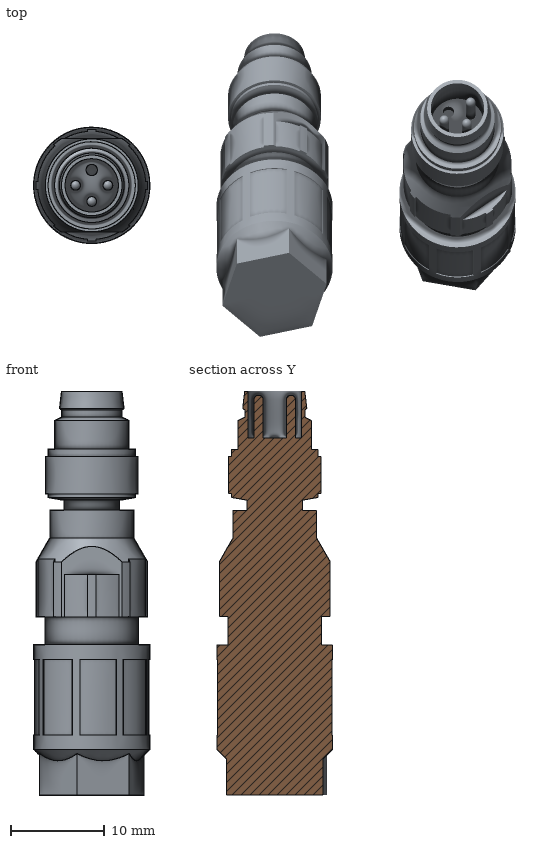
import cadquery as cq
import math


SLEEVE_BOTTOM = 4.95
SLEEVE_TOP = 16.15
GRIP_BOTTOM = 19.15
BODY_CONE_TOP = 27.6
BODY_TOP = 30.6
RING_UNDERSIDE = 31.7
RING_BOTTOM = 31.95
RING_TOP = 37.15
RING_LIP = 0.4
NOSE_TOP = 40.58
COLLAR_BOTTOM = 41.35
TOTAL_HEIGHT = 43.35

SLEEVE_RADIUS = 6.25
SHAFT_RADIUS = 5.05
GRIP_RADIUS = 6.0
BODY_RADIUS = 4.5
NECK_RADIUS = 3.0
RING_RADIUS = 5.0
RING_LIP_RADIUS = 4.7
NOSE_RADIUS = 4.0
SOCKET_OUTER_RADIUS = 3.25
COLLAR_RADIUS = 3.45

HEX_ACROSS_FLATS = 10.0
HEX_ANGLE = 14

PANEL_COUNT = 8
PANEL_BOTTOM = 6.45
PANEL_TOP = 14.55
PANEL_SPAN = 37
PANEL_ANGLE = 6.7
PANEL_DEPTH = 0.1

BODY_CONE_ANGLE = 30
GRIP_FLAT = 5.05
GRIP_FLAT_BOTTOM = 23.7
GRIP_PAD_RADIUS = 5.8
RIB_WIDTH = 0.85
PAD_END_ANGLE = 47

SOCKET_RADIUS = 2.85
SOCKET_DEPTH = 5.0
SOCKET_FLOOR = TOTAL_HEIGHT - SOCKET_DEPTH
PIN_RADIUS = 0.5
PIN_CIRCLE_RADIUS = 1.75
PIN_ANGLES = (0, 180, 270)
PIN_TIP_DROP = 0.4
KEY_RADIUS = 0.6
KEY_OFFSET = 1.65
KEY_DEPTH = 1.0


def cylinder(radius, bottom, top):
    return cq.Workplane("XY").workplane(offset=bottom).circle(radius).extrude(top - bottom)


def revolve_profile(points):
    return cq.Workplane("XZ").polyline(points).close().revolve(360, (0, 0, 0), (0, 1, 0))


def sector(radius, start, end, bottom, top):
    """Pie slice between two angles in degrees, reaching at least to the given radius."""
    reach = radius / math.cos(math.radians((end - start) / 2))
    first, crown, last = [
        (reach * math.cos(math.radians(angle)), reach * math.sin(math.radians(angle)))
        for angle in (start, (start + end) / 2, end)
    ]
    return (
        cq.Workplane("XY").workplane(offset=bottom)
        .lineTo(*first).threePointArc(crown, last).close()
        .extrude(top - bottom)
    )


def hex_nut():
    circumscribed = HEX_ACROSS_FLATS / math.cos(math.radians(30))
    return (
        cq.Workplane("XY").polygon(6, circumscribed).extrude(SLEEVE_BOTTOM)
        .rotate((0, 0, 0), (0, 0, 1), HEX_ANGLE)
    )


def sleeve():
    overlap = 0.2
    cone_radius = HEX_ACROSS_FLATS / 2 - overlap
    cone_bottom = SLEEVE_BOTTOM - (SLEEVE_RADIUS - cone_radius)
    body = revolve_profile([
        (0, cone_bottom), (cone_radius, cone_bottom),
        (SLEEVE_RADIUS, SLEEVE_BOTTOM), (SLEEVE_RADIUS, SLEEVE_TOP), (0, SLEEVE_TOP),
    ])
    core = cylinder(SLEEVE_RADIUS - PANEL_DEPTH, PANEL_BOTTOM, PANEL_TOP)
    for i in range(PANEL_COUNT):
        centre = PANEL_ANGLE + i * 360 / PANEL_COUNT
        panel = sector(
            SLEEVE_RADIUS, centre - PANEL_SPAN / 2, centre + PANEL_SPAN / 2,
            PANEL_BOTTOM, PANEL_TOP,
        )
        body = body.cut(panel.cut(core))
    return body


def grip_body():
    cone_height = (GRIP_RADIUS - BODY_RADIUS) / math.tan(math.radians(BODY_CONE_ANGLE))
    body = revolve_profile([
        (0, GRIP_BOTTOM), (GRIP_RADIUS, GRIP_BOTTOM),
        (GRIP_RADIUS, BODY_CONE_TOP - cone_height), (BODY_RADIUS, BODY_CONE_TOP),
        (BODY_RADIUS, BODY_TOP), (0, BODY_TOP),
    ])

    grip_height = BODY_CONE_TOP - GRIP_BOTTOM
    keep = cylinder(GRIP_PAD_RADIUS, GRIP_BOTTOM, BODY_CONE_TOP)
    for length, width in ((2 * GRIP_RADIUS, RIB_WIDTH), (RIB_WIDTH, 2 * GRIP_RADIUS)):
        keep = keep.union(
            cq.Workplane("XY").workplane(offset=GRIP_BOTTOM).rect(length, width).extrude(grip_height)
        )
    for side in (0, 180):
        recess = sector(
            GRIP_RADIUS, side - PAD_END_ANGLE, side + PAD_END_ANGLE, GRIP_BOTTOM, BODY_CONE_TOP
        )
        body = body.cut(recess.cut(keep))

    standing = keep.intersect(cylinder(GRIP_RADIUS, GRIP_BOTTOM, GRIP_FLAT_BOTTOM))
    for side in (1, -1):
        flat = (
            cq.Workplane("XY").workplane(offset=GRIP_BOTTOM)
            .center(0, side * (GRIP_FLAT + GRIP_RADIUS / 2))
            .rect(2 * GRIP_RADIUS, GRIP_RADIUS).extrude(grip_height)
        )
        body = body.cut(flat.cut(standing))
    return body


def socket_end():
    """Neck, coupling ring, nose and socket collar above the grip body."""
    nose_cone_height = 0.35
    collar_lip = 0.17
    underside_radius = 3.2
    return revolve_profile([
        (0, BODY_TOP), (NECK_RADIUS, BODY_TOP), (NECK_RADIUS, RING_UNDERSIDE),
        (underside_radius, RING_UNDERSIDE), (RING_LIP_RADIUS, RING_BOTTOM),
        (RING_LIP_RADIUS, RING_BOTTOM + RING_LIP), (RING_RADIUS, RING_BOTTOM + RING_LIP),
        (RING_RADIUS, RING_TOP - 2 * RING_LIP), (RING_LIP_RADIUS, RING_TOP - 2 * RING_LIP),
        (RING_LIP_RADIUS, RING_TOP), (NOSE_RADIUS, RING_TOP),
        (NOSE_RADIUS, NOSE_TOP - nose_cone_height),
        (SOCKET_OUTER_RADIUS, NOSE_TOP), (SOCKET_OUTER_RADIUS, COLLAR_BOTTOM),
        (COLLAR_RADIUS, COLLAR_BOTTOM + collar_lip), (SOCKET_OUTER_RADIUS, TOTAL_HEIGHT),
        (0, TOTAL_HEIGHT),
    ])


def pin(angle):
    """Contact pin with a hemispherical tip, rooted below the socket floor."""
    root = SOCKET_FLOOR - PIN_RADIUS
    tip_centre = TOTAL_HEIGHT - PIN_TIP_DROP - PIN_RADIUS
    return (
        cylinder(PIN_RADIUS, root, tip_centre)
        .union(cq.Workplane("XY").sphere(PIN_RADIUS).translate((0, 0, tip_centre)))
        .translate((PIN_CIRCLE_RADIUS, 0, 0))
        .rotate((0, 0, 0), (0, 0, 1), angle)
    )


socket = cylinder(SOCKET_RADIUS, SOCKET_FLOOR, TOTAL_HEIGHT)
key_hole = cylinder(KEY_RADIUS, SOCKET_FLOOR - KEY_DEPTH, SOCKET_FLOOR).translate((0, KEY_OFFSET, 0))

result = (
    hex_nut()
    .union(sleeve())
    .union(cylinder(SHAFT_RADIUS, SLEEVE_TOP, GRIP_BOTTOM))
    .union(grip_body())
    .union(socket_end())
    .cut(socket)
    .cut(key_hole)
)
for pin_angle in PIN_ANGLES:
    result = result.union(pin(pin_angle))